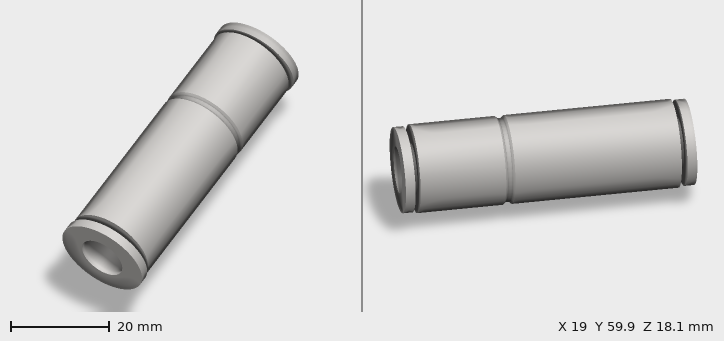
import cadquery as cq

overall_length = 59.9
half_length = overall_length / 2

body_diameter = 18.1
neck_gap = 1.1

collar_width = 19.0
collar_height = 16.9
collar_thickness = 2.0
neck_diameter = 10.6
bore_diameter = 9.6
bore_depth = 18.0

groove_centre_from_end = 21.65
groove_width = 1.9
groove_floor_diameter = 17.1
groove_depth = (body_diameter - groove_floor_diameter) / 2

body_end = half_length - collar_thickness - neck_gap
groove_centre = half_length - groove_centre_from_end


def plane_facing(direction, distance):
    """Plane normal to Y at the given distance, facing +Y (1) or -Y (-1)."""
    return cq.Plane(
        origin=(0, direction * distance, 0),
        xDir=(1, 0, 0),
        normal=(0, direction, 0),
    )


def make_body():
    """Revolve the grooved body outline about the Y axis."""
    body_radius = body_diameter / 2
    floor_radius = groove_floor_diameter / 2
    outer_half = groove_width / 2
    floor_half = outer_half - groove_depth
    outline = [
        (0, -body_end),
        (body_radius, -body_end),
        (body_radius, groove_centre - outer_half),
        (floor_radius, groove_centre - floor_half),
        (floor_radius, groove_centre + floor_half),
        (body_radius, groove_centre + outer_half),
        (body_radius, body_end),
        (0, body_end),
    ]
    return cq.Workplane("XY").polyline(outline).close().revolve(360, (0, 0), (0, 1))


def make_collar(direction):
    """Neck and elliptical collar standing on one end of the body."""
    neck = (
        cq.Workplane(plane_facing(direction, body_end))
        .circle(neck_diameter / 2)
        .extrude(neck_gap)
    )
    flange = (
        cq.Workplane(plane_facing(direction, body_end + neck_gap))
        .ellipse(collar_width / 2, collar_height / 2)
        .extrude(collar_thickness)
    )
    return neck.union(flange)


def make_bore(direction):
    """Blind tube socket cut inward from one end face."""
    return (
        cq.Workplane(plane_facing(direction, half_length))
        .circle(bore_diameter / 2)
        .extrude(-bore_depth)
    )


result = make_body()
for end_direction in (1, -1):
    result = result.union(make_collar(end_direction))
    result = result.cut(make_bore(end_direction))